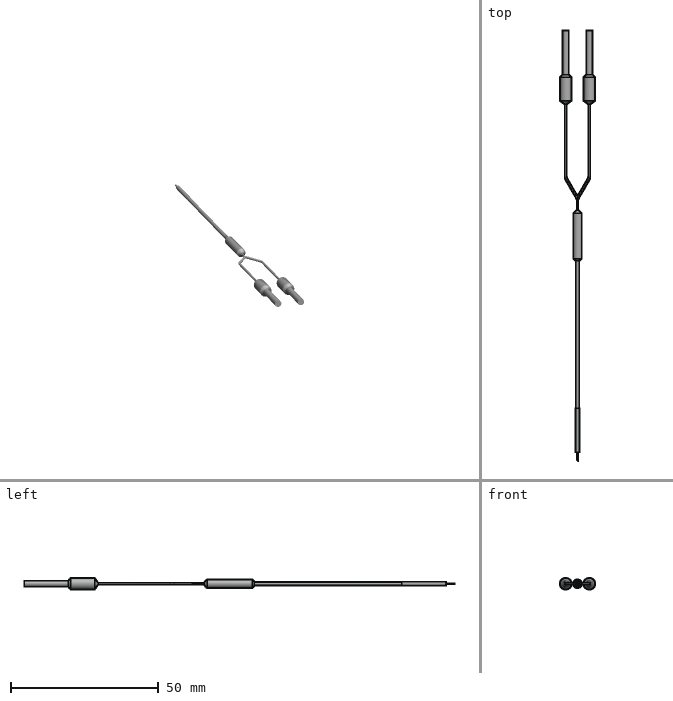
import cadquery as cq
import math

overall_length = 146.06

plug_offset = 4.0
pin_diameter = 2.2
pin_length = 15.0
sleeve_diameter = 4.0
sleeve_length = 10.1
sleeve_rear_taper = 0.9
sleeve_front_taper = 1.2

wire_diameter = 0.8
straight_wire_length = 24.3
bend_radius = 2.5
fork_angle = math.radians(30.0)
common_wire_diameter = 0.6

body_diameter = 3.0
body_length = 17.0
body_rear_chamfer = 1.0
body_front_chamfer = 0.7
shaft_diameter = 1.3
shaft_length = 50.0
shaft_end_diameter = 1.4
shaft_end_length = 15.0
tip_diameter = 0.5
tip_length = 3.0
tip_bevel_angle = math.radians(45.0)

sleeve_rear_y = overall_length - pin_length
sleeve_front_y = sleeve_rear_y - sleeve_length
bend_y = sleeve_front_y - straight_wire_length
shaft_step_y = tip_length + shaft_end_length
body_front_y = shaft_step_y + shaft_length
body_rear_y = body_front_y + body_length


def rod(diameter, start_y, end_y):
    """Round rod on the Y axis."""
    return cq.Workplane("XZ", origin=(0, end_y, 0)).circle(diameter / 2).extrude(end_y - start_y)


def bend_point(angle):
    """Point on the right-hand wire's bend after turning through the given angle."""
    x = plug_offset - bend_radius * (1 - math.cos(angle))
    y = bend_y - bend_radius * math.sin(angle)
    return x, y


bend_end_x, bend_end_y = bend_point(fork_angle)
fork_end_y = bend_end_y - bend_end_x / math.tan(fork_angle)


def plug():
    """Pin and sleeve of the right-hand plug, revolved about the plug axis."""
    pin_radius = pin_diameter / 2
    sleeve_radius = sleeve_diameter / 2
    profile = (
        cq.Workplane("XY", origin=(plug_offset, 0, 0))
        .moveTo(0, overall_length)
        .lineTo(pin_radius, overall_length)
        .lineTo(pin_radius, sleeve_rear_y)
        .lineTo(sleeve_radius, sleeve_rear_y - sleeve_rear_taper)
        .lineTo(sleeve_radius, sleeve_front_y + sleeve_front_taper)
        .lineTo(wire_diameter / 2, sleeve_front_y)
        .lineTo(0, sleeve_front_y)
        .close()
    )
    return profile.revolve(360, (0, 0, 0), (0, 1, 0))


def lead_wire():
    """Right-hand lead wire from the sleeve to the meeting point."""
    path = (
        cq.Workplane("XY")
        .moveTo(plug_offset, sleeve_front_y)
        .lineTo(plug_offset, bend_y)
        .threePointArc(bend_point(fork_angle / 2), (bend_end_x, bend_end_y))
        .lineTo(0, fork_end_y)
    )
    section = cq.Workplane("XZ", origin=(plug_offset, sleeve_front_y, 0)).circle(wire_diameter / 2)
    return section.sweep(path)


def junction_body():
    body = rod(body_diameter, body_front_y, body_rear_y)
    body = body.faces(">Y").chamfer(body_rear_chamfer)
    return body.faces("<Y").chamfer(body_front_chamfer)


def needle_tip():
    """Thin needle cut off at a slant, leaving its point on the +X side."""
    radius = tip_diameter / 2
    bevel_height = tip_diameter * math.tan(tip_bevel_angle)
    bevel = (
        cq.Workplane("XY")
        .polyline([(-radius, 0), (radius, 0), (-radius, bevel_height)])
        .close()
        .extrude(radius, both=True)
    )
    return rod(tip_diameter, 0, tip_length).cut(bevel)


branch = plug().union(lead_wire())
result = (
    junction_body()
    .union(branch)
    .union(branch.mirror("YZ"))
    .union(rod(common_wire_diameter, body_rear_y, fork_end_y))
    .union(rod(shaft_diameter, shaft_step_y, body_front_y))
    .union(rod(shaft_end_diameter, tip_length, shaft_step_y))
    .union(needle_tip())
)